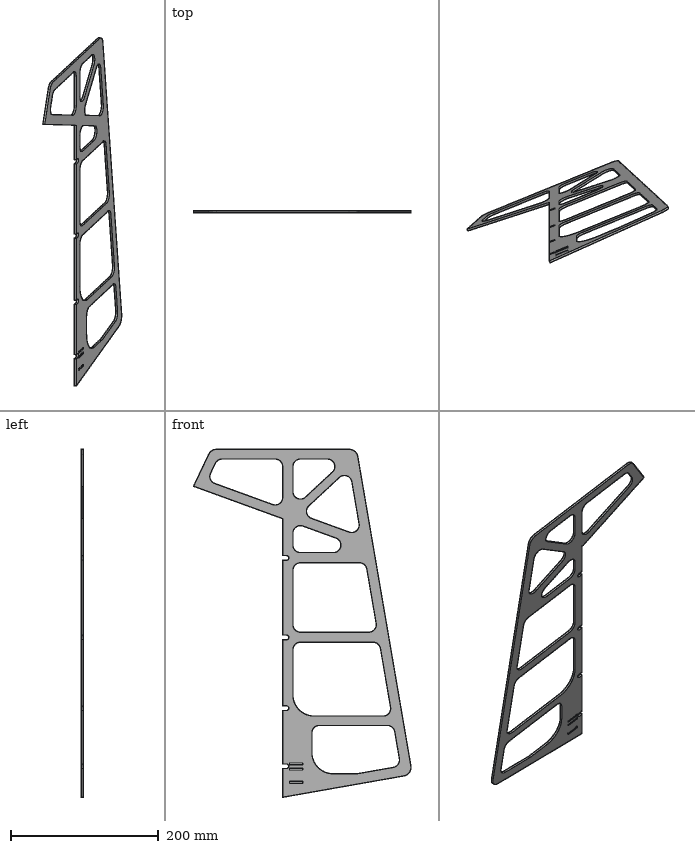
import cadquery as cq
import math

thickness = 3.0
height = 471.71

bottom_slope = math.tan(math.radians(10.0))
horn_slope = math.tan(math.radians(20.0))
trailing_slope = 0.1716
horn_tip_slope = 0.475
brace_slope = 0.93

trailing_top_x = 100.35
horn_reach = 120.75
horn_root_z = 377.5
horn_tip_z = horn_root_z + horn_slope * horn_reach
outline_radius = 12.0

rim = 13.5
hinge_rim = 14.2
trailing_rim = 14.2
window_radius = 10.0
large_radius = 28.5
window_top = height - rim
horn_window_root_z = 392.0
horn_window_front_x = -88.3
brace_upper_z = 378.1
brace_lower_z = 361.7
tip_rib_upper_z = 392.4
tip_rib_lower_z = 377.5
tip_window_bottom = 331.8
upper_window_top, upper_window_bottom = 317.7, 224.0
middle_window_top, middle_window_bottom = 210.1, 110.4
lower_window_top, lower_window_bottom = 97.4, 32.2
lower_window_left = 39.9
lower_window_kink_x = 101.0

notch_width = 6.0
notch_depth = 8.4
notch_heights = (324.4, 216.7, 120.9, 42.2)
slot_length = 17.5
slot_width = 2.2
slot_start_x = 9.7
slot_heights = (45.4, 38.4, 20.6)


def trailing_x(z, inset=0.0):
    """X of the trailing edge at height z, moved forward by inset."""
    return trailing_top_x + trailing_slope * (height - z) - inset


def on_trailing_rim(z):
    """Point of the inner trailing rim at height z."""
    return (trailing_x(z, trailing_rim), z)


def trailing_crossing(start_z, slope, inset=trailing_rim):
    """Point where the line z = start_z + slope * x meets the trailing edge, moved forward by inset."""
    x = trailing_x(start_z, inset) / (1 + trailing_slope * slope)
    return (x, start_z + slope * x)


def crossing(start_a, slope_a, start_b, slope_b):
    """Point shared by the lines z = start + slope * x."""
    x = (start_b - start_a) / (slope_a - slope_b)
    return (x, start_a + slope_a * x)


def prism(corners):
    """Polygon in XZ extruded through the plate thickness, centred on Y = 0."""
    return cq.Workplane("XZ").polyline(corners).close().extrude(thickness / 2, both=True)


def round_corner(body, corner, radius):
    """Fillet the edge that crosses the plate at one corner."""
    x, z = corner
    return body.edges(cq.selectors.NearestToPointSelector((x, 0, z))).fillet(radius)


def rounded_prism(corners, radii):
    """Prism whose corners each have their own radius; zero keeps a corner sharp."""
    body = prism(corners)
    for corner, radius in zip(corners, radii):
        if radius > 0:
            body = round_corner(body, corner, radius)
    return body


def plain_window(corners):
    """Window cutter with the usual radius at every corner."""
    return rounded_prism(corners, [window_radius] * len(corners))


def outline():
    """Solid plate, with the horn overhanging forward of the hinge edge at the top."""
    front_top = (-horn_reach + horn_tip_slope * (height - horn_tip_z), height)
    rear_top = (trailing_top_x, height)
    rear_bottom = trailing_crossing(0, bottom_slope, 0)
    corners = [(0, 0), rear_bottom, rear_top, front_top, (-horn_reach, horn_tip_z), (0, horn_root_z)]
    return rounded_prism(corners, [0, outline_radius, outline_radius, outline_radius, 0, 0])


def horn_window():
    front_slope = 1 / horn_tip_slope
    front_start = window_top - front_slope * horn_window_front_x
    front_bottom = crossing(front_start, front_slope, horn_window_root_z, -horn_slope)
    return plain_window(
        [(0, horn_window_root_z), (0, window_top), (horn_window_front_x, window_top), front_bottom]
    )


def above_brace_window():
    return plain_window([
        (hinge_rim, window_top),
        (hinge_rim, brace_upper_z + brace_slope * hinge_rim),
        ((window_top - brace_upper_z) / brace_slope, window_top),
    ])


def below_brace_window():
    return plain_window([
        crossing(brace_lower_z, brace_slope, tip_rib_upper_z, -horn_slope),
        trailing_crossing(tip_rib_upper_z, -horn_slope),
        trailing_crossing(brace_lower_z, brace_slope),
    ])


def tip_window():
    return plain_window([
        (hinge_rim, tip_window_bottom),
        ((tip_rib_lower_z - tip_window_bottom) / horn_slope, tip_window_bottom),
        (hinge_rim, tip_rib_lower_z - horn_slope * hinge_rim),
    ])


def bay_window(bottom, top, front_bottom_radius):
    corners = [(hinge_rim, bottom), on_trailing_rim(bottom), on_trailing_rim(top), (hinge_rim, top)]
    return rounded_prism(corners, [front_bottom_radius] + [window_radius] * 3)


def lower_window():
    slant_start = lower_window_bottom - bottom_slope * lower_window_kink_x
    corners = [
        (lower_window_left, lower_window_bottom),
        (lower_window_kink_x, lower_window_bottom),
        trailing_crossing(slant_start, bottom_slope),
        on_trailing_rim(lower_window_top),
        (lower_window_left, lower_window_top),
    ]
    return rounded_prism(corners, [large_radius, 0, window_radius, window_radius, window_radius])


def hinge_notch(z):
    """Notch open at the hinge edge: the rear half of a round-ended slot centred on that edge."""
    body = cq.Workplane("XZ").center(0, z).slot2D(2 * notch_depth, notch_width)
    return body.extrude(thickness / 2, both=True)


def control_horn_slot(z):
    """Rectangular slot through the plate near the hinge edge."""
    middle_x = slot_start_x + slot_length / 2
    return cq.Workplane("XY").box(slot_length, thickness, slot_width).translate((middle_x, 0, z))


cutters = [
    horn_window(),
    above_brace_window(),
    below_brace_window(),
    tip_window(),
    bay_window(upper_window_bottom, upper_window_top, window_radius),
    bay_window(middle_window_bottom, middle_window_top, large_radius),
    lower_window(),
]
cutters += [hinge_notch(z) for z in notch_heights]
cutters += [control_horn_slot(z) for z in slot_heights]

result = outline()
for cutter in cutters:
    result = result.cut(cutter)